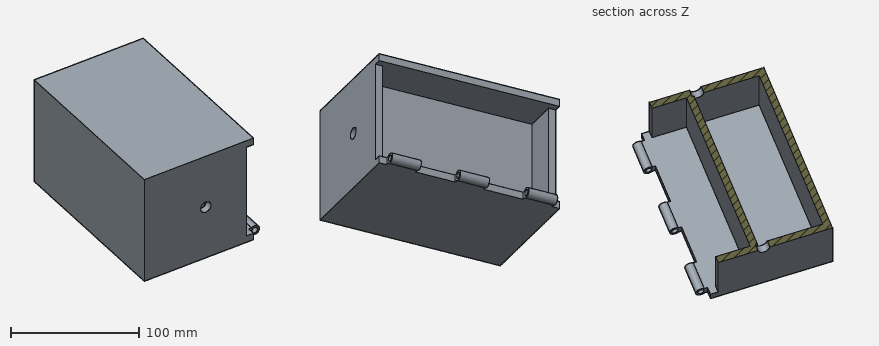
import cadquery as cq

box_width = 158.2
total_depth = 111.4
total_height = 99.2

panel_thickness = 6.3
knuckle_diameter = 8.5
knuckle_bore = 5.0
knuckle_width = 25.3
knuckle_inset = 6.6
knuckle_offset = 5.5
knuckle_count = 3

side_hole_diameter = 9.7
side_hole_from_front = 57.1
divider_from_front = 60.3

knuckle_radius = knuckle_diameter / 2
knuckle_overhang = (knuckle_diameter - panel_thickness) / 2
box_height = total_height - knuckle_overhang
box_depth = total_depth - knuckle_offset - knuckle_radius
side_depth = box_depth - panel_thickness
inner_width = box_width - 2 * panel_thickness
inner_height = box_height - 2 * panel_thickness
knuckle_y = box_depth + knuckle_offset
knuckle_z = panel_thickness / 2
knuckle_pitch = (box_width - 2 * knuckle_inset - knuckle_width) / (knuckle_count - 1)


def block(x, y, z, width, depth, height):
    """Box of the given size with its lowest corner at (x, y, z)."""
    return cq.Workplane("XY").box(width, depth, height, centered=False).translate((x, y, z))


def rod(x, y, z, diameter, length):
    """Cylinder along X that starts at (x, y, z)."""
    return cq.Workplane("YZ").circle(diameter / 2).extrude(length).translate((x, y, z))


def make_shell():
    """Box open at the back, with side walls set back to take a door."""
    outer = block(0, 0, 0, box_width, box_depth, box_height)
    cavity = block(
        panel_thickness, panel_thickness, panel_thickness,
        inner_width, box_depth, inner_height,
    )
    door_recess = block(0, side_depth, panel_thickness, box_width, panel_thickness, inner_height)
    return outer.cut(cavity).cut(door_recess)


def make_divider():
    """Upright panel across the cavity, covering the rear edge of the side holes."""
    return block(
        panel_thickness, divider_from_front, panel_thickness,
        inner_width, panel_thickness, inner_height,
    )


def make_knuckle(x):
    """Hinge barrel on a tab that continues the bottom panel."""
    tab = block(x, box_depth, 0, knuckle_width, knuckle_offset, panel_thickness)
    barrel = rod(x, knuckle_y, knuckle_z, knuckle_diameter, knuckle_width)
    bore = rod(x, knuckle_y, knuckle_z, knuckle_bore, knuckle_width)
    return tab.union(barrel).cut(bore)


side_holes = rod(0, side_hole_from_front, box_height / 2, side_hole_diameter, box_width)
result = make_shell().cut(side_holes).union(make_divider())

for index in range(knuckle_count):
    result = result.union(make_knuckle(knuckle_inset + index * knuckle_pitch))